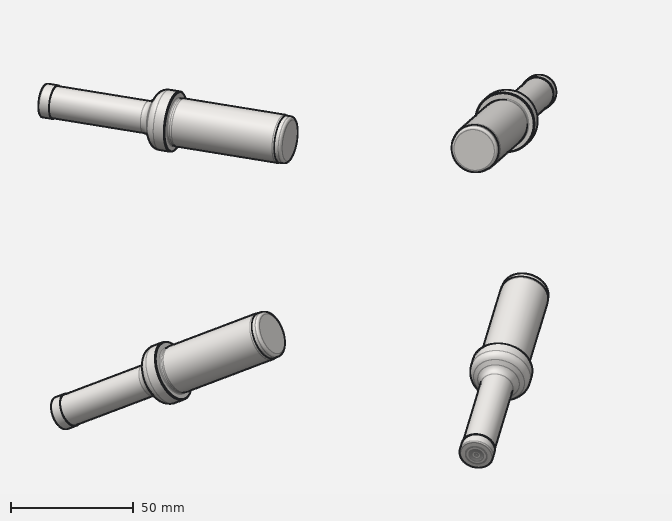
import cadquery as cq
import math


overall_length = 107.99
shank_length = 50.0
neck_start_x = -53.0
tip_x = shank_length - overall_length

neck_radius = 13.4 / 2
flange_radius = 25.0 / 2
shank_radius = 20.0 / 2
relief_radius = 19.5 / 2

flange_width = 5.0
flange_chamfer = 0.35
blend_radius = 4.0
blend_angle = math.radians(59)

undercut_width = 1.0
undercut_run_out = 0.95
undercut_fillet = 0.3
rear_step_length = 3.15
rear_chamfer_length = 0.7
rear_chamfer_depth = 0.15
rear_bevel_length = 0.25
rear_fillet = 1.25

head_radius = 14.0 / 2
corner_radius = 0.53
land_outer_radius = 4.52
land_bevel_radius = 4.25
land_bevel_depth = 0.03
outer_slope_depth = 0.13
dish_mouth_radius = 3.05
dish_wall_radius = 2.55
dish_ring_radius = 2.2
dish_floor_radius = 1.8
dish_wall_depth = 0.12
dish_ring_depth = 0.2
dish_floor_depth = 0.25
centre_mark_radius = 0.85
centre_flat_radius = 0.5
centre_mark_depth = 0.33
centre_flat_depth = 0.36


def turn(outline):
    """Revolve a closed half outline, drawn as (x, radius), about the X axis."""
    return outline.close().revolve(360, (0, 0, 0), (1, 0, 0))


def make_holder():
    """Neck, flange and clamping shank as one turned solid."""
    arc_length = blend_radius * math.sin(blend_angle)
    arc_rise = blend_radius * (1 - math.cos(blend_angle))
    half_arc_length = blend_radius * math.sin(blend_angle / 2)
    half_arc_rise = blend_radius * (1 - math.cos(blend_angle / 2))
    cone_rise = flange_radius - neck_radius - 2 * arc_rise
    cone_length = cone_rise / math.tan(blend_angle)

    flange_x = -flange_width
    cone_end_x = flange_x - arc_length
    cone_start_x = cone_end_x - cone_length
    blend_x = cone_start_x - arc_length

    step_x = shank_length - rear_step_length
    diagonal = math.sqrt(0.5)
    undercut_arc_offset = undercut_fillet * (1 - diagonal)
    rear_arc_offset = rear_fillet * (1 - diagonal)

    outline = (
        cq.Workplane("XY")
        .moveTo(neck_start_x, 0)
        .lineTo(neck_start_x, neck_radius)
        .lineTo(blend_x, neck_radius)
        .threePointArc(
            (blend_x + half_arc_length, neck_radius + half_arc_rise),
            (cone_start_x, neck_radius + arc_rise),
        )
        .lineTo(cone_end_x, flange_radius - arc_rise)
        .threePointArc(
            (flange_x - half_arc_length, flange_radius - half_arc_rise),
            (flange_x, flange_radius),
        )
        .lineTo(-flange_chamfer, flange_radius)
        .lineTo(0, flange_radius - flange_chamfer)
        .lineTo(0, relief_radius + undercut_fillet)
        .threePointArc(
            (undercut_arc_offset, relief_radius + undercut_arc_offset),
            (undercut_fillet, relief_radius),
        )
        .lineTo(undercut_width, relief_radius)
        .lineTo(undercut_width + undercut_run_out, shank_radius)
        .lineTo(step_x - rear_chamfer_length, shank_radius)
        .lineTo(step_x, shank_radius - rear_chamfer_depth)
        .lineTo(step_x + rear_bevel_length, relief_radius)
        .lineTo(shank_length - rear_fillet, relief_radius)
        .threePointArc(
            (shank_length - rear_arc_offset, relief_radius - rear_arc_offset),
            (shank_length, relief_radius - rear_fillet),
        )
        .lineTo(shank_length, 0)
    )
    return turn(outline)


def make_cutting_head():
    """Drill head with rounded corner, flat front land and a dished centre."""
    outer_face_x = tip_x + outer_slope_depth
    corner_arc_offset = corner_radius * (1 - math.sqrt(0.5))

    outline = (
        cq.Workplane("XY")
        .moveTo(neck_start_x, 0)
        .lineTo(neck_start_x, head_radius)
        .lineTo(outer_face_x + corner_radius, head_radius)
        .threePointArc(
            (outer_face_x + corner_arc_offset, head_radius - corner_arc_offset),
            (outer_face_x, head_radius - corner_radius),
        )
        .lineTo(tip_x + land_bevel_depth, land_outer_radius)
        .lineTo(tip_x, land_bevel_radius)
        .lineTo(tip_x, dish_mouth_radius)
        .lineTo(tip_x + dish_wall_depth, dish_wall_radius)
        .lineTo(tip_x + dish_ring_depth, dish_ring_radius)
        .lineTo(tip_x + dish_floor_depth, dish_floor_radius)
        .lineTo(tip_x + centre_mark_depth, centre_mark_radius)
        .lineTo(tip_x + centre_flat_depth, centre_flat_radius)
        .lineTo(tip_x + centre_flat_depth, 0)
    )
    return turn(outline)


holder = make_holder()
cutting_head = make_cutting_head()

result = cq.Compound.makeCompound([holder.val(), cutting_head.val()])